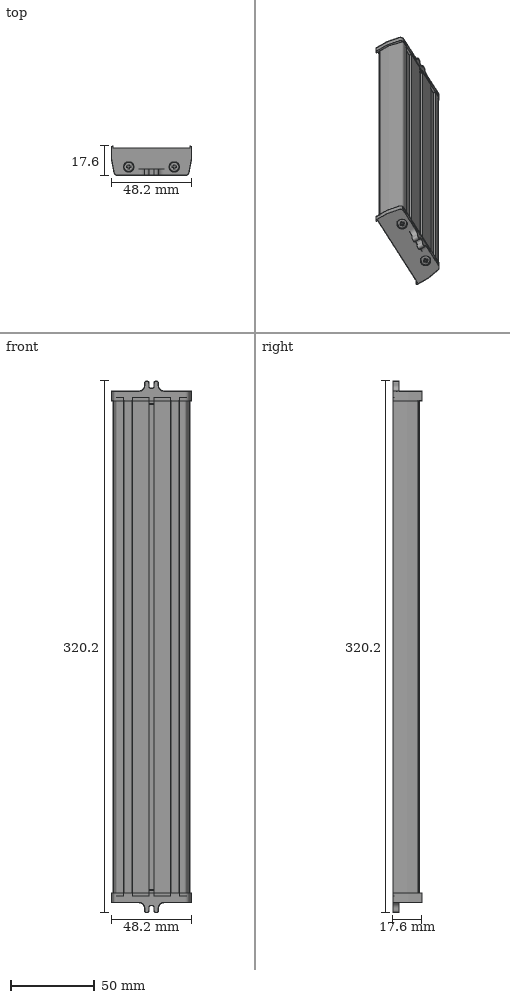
import cadquery as cq
import math

total_length = 320.2
cap_width = 48.2
cap_depth = 17.6

lug_height = 6.0
cap_height = 6.0
socket_depth = 2.0
side_wall = 1.0
front_wall = 0.05
cap_bend_y = 9.5
cap_taper = math.radians(10.7)
cap_corner_radius = 2.3
lip_size = 1.0
lip_radius = 0.5

cap_top = total_length / 2 - lug_height
cap_bottom = cap_top - cap_height
cap_back = cap_depth - lip_size

lug_thickness = 3.8
lug_half_width = 4.2
lug_root_radius = 3.3
lug_slot_half_width = 1.5
lug_slot_depth = 4.2
lug_slot_radius = 0.9
lug_tip_radius = 1.3

body_half_width = cap_width / 2 - side_wall
body_length = 2 * (cap_bottom + socket_depth)
body_bend_y = 8.7
body_taper = math.radians(14.1)
body_corner_radius = 1.3
cover_front = 15.0
cover_back = 16.0
cover_corner_radius = 0.8

groove_depth = 1.3
side_groove_outer = 17.0
side_groove_inner = 11.3
side_groove_wall_slope = math.radians(16)
center_groove_half_width = 1.5

key_front = 0.5
key_length = 2.0
key_chamfer = 0.6

screw_x = 13.7
screw_y = 5.15
head_radius = 2.8
head_height = 2.2
head_edge_radius = 0.6
counterbore_radius = 3.1
shank_radius = 1.5
shank_length = 12.0
recess_length = 2.6
recess_width = 0.9
recess_depth = 1.2


def mirrored_outline(right_points):
    """Closed outline in XY from its right half, listed from front to back."""
    left_points = [(-x, y) for x, y in reversed(right_points)]
    return cq.Workplane("XY").polyline(right_points + left_points).close()


def tapered_half_width(half_width, bend_y, taper, y):
    """Half width at depth y of a side that leans inward in front of the bend."""
    return half_width - (bend_y - y) * math.tan(taper)


def z_edges_at(x, y):
    """Selector for the edges along Z that pass through (x, y) and (-x, y)."""
    margin = 0.01
    boxes = [
        cq.selectors.BoxSelector(
            (side * x - margin, y - margin, -total_length),
            (side * x + margin, y + margin, total_length),
        )
        for side in (-1, 1)
    ]
    return boxes[0] + boxes[1]


def screw_cylinders(radius, length):
    """Pair of cylinders on the top screw axes: up from the head seat, or down if length is negative."""
    return (
        cq.Workplane("XY", origin=(0, 0, cap_top - head_height))
        .pushPoints([(-screw_x, screw_y), (screw_x, screw_y)])
        .circle(radius)
        .extrude(length)
    )


def make_profile():
    """Extruded profile with two sloped side grooves and a center groove in its front."""
    front_half_width = tapered_half_width(body_half_width, body_bend_y, body_taper, front_wall)
    profile = mirrored_outline([
        (front_half_width, front_wall),
        (body_half_width, body_bend_y),
        (body_half_width, cover_front),
    ]).extrude(body_length / 2, both=True)
    profile = profile.edges(z_edges_at(front_half_width, front_wall)).fillet(body_corner_radius)

    wall_run = groove_depth * math.tan(side_groove_wall_slope)
    floor_y = front_wall + groove_depth
    side_groove = (
        cq.Workplane("XY")
        .polyline([
            (side_groove_inner, front_wall),
            (side_groove_outer, front_wall),
            (side_groove_outer - wall_run, floor_y),
            (side_groove_inner + wall_run, floor_y),
        ])
        .close()
        .extrude(body_length / 2, both=True)
    )
    center_groove = cq.Workplane("XY").box(
        2 * center_groove_half_width, 2 * floor_y, body_length
    )
    for groove in (side_groove, side_groove.mirror("YZ"), center_groove):
        profile = profile.cut(groove)

    shank_holes = screw_cylinders(shank_radius, -shank_length)
    return profile.cut(shank_holes).cut(shank_holes.mirror("XY"))


def make_cover():
    """Plate with rounded back corners that closes the back of the profile."""
    cover = cq.Workplane("XY").box(2 * body_half_width, cover_back - cover_front, body_length)
    cover = cover.faces(">Y").edges("|Z").fillet(cover_corner_radius)
    return cover.translate((0, (cover_front + cover_back) / 2, 0))


def make_lug():
    """Forked lug on the top cap, flush with its front."""
    tip_z = total_length / 2
    root_half_width = lug_half_width + lug_root_radius
    root_z = cap_top + lug_root_radius
    outline = (
        cq.Workplane("XZ")
        .moveTo(-root_half_width, cap_top)
        .radiusArc((-lug_half_width, root_z), -lug_root_radius)
        .lineTo(-lug_half_width, tip_z)
        .lineTo(lug_half_width, tip_z)
        .lineTo(lug_half_width, root_z)
        .radiusArc((root_half_width, cap_top), -lug_root_radius)
        .close()
    )
    lug = outline.extrude(-lug_thickness)
    slot = (
        cq.Workplane("XY")
        .box(2 * lug_slot_half_width, 2 * lug_thickness, 2 * lug_slot_depth)
        .edges("|Y")
        .fillet(lug_slot_radius)
        .translate((0, 0, tip_z))
    )
    return lug.cut(slot).faces(">Z").edges("|Y").fillet(lug_tip_radius)


def make_key():
    """Key that fills the end of the center groove, chamfered at its front end."""
    key_back = front_wall + groove_depth
    key = cq.Workplane("XY").box(
        2 * center_groove_half_width, key_back - key_front, key_length
    ).translate((0, (key_back + key_front) / 2, cap_bottom - key_length / 2))
    return key.faces("<Z").edges("<Y").chamfer(key_chamfer)


def make_screw():
    """Cross-recessed screw for the right side of the top cap, its head level with the cap."""
    head = (
        cq.Workplane("XY", origin=(screw_x, screw_y, cap_top - head_height))
        .circle(head_radius)
        .extrude(head_height)
        .faces(">Z")
        .edges()
        .fillet(head_edge_radius)
    )
    shank = head.faces("<Z").workplane(centerOption="CenterOfMass").circle(shank_radius)
    screw = shank.extrude(shank_length)
    for length, width in ((recess_length, recess_width), (recess_width, recess_length)):
        arm = cq.Workplane("XY").box(length, width, 2 * recess_depth)
        screw = screw.cut(arm.translate((screw_x, screw_y, cap_top)))
    return screw


def make_cap(inserts):
    """Top end cap with its lug, key and screw holes, recessed for the ends of the inserts."""
    front_half_width = tapered_half_width(cap_width / 2, cap_bend_y, cap_taper, 0)
    inner_half_width = cap_width / 2 - lip_size
    cap = mirrored_outline([
        (front_half_width, 0),
        (cap_width / 2, cap_bend_y),
        (cap_width / 2, cap_depth),
        (inner_half_width, cap_depth),
        (inner_half_width, cap_back),
    ]).extrude(cap_height).translate((0, 0, cap_bottom))
    cap = cap.edges(z_edges_at(front_half_width, 0)).fillet(cap_corner_radius)
    cap = cap.edges(z_edges_at(cap_width / 2, cap_depth)).fillet(lip_radius)
    for insert in inserts:
        cap = cap.cut(insert)
    cap = cap.union(make_lug()).union(make_key())
    counterbores = screw_cylinders(counterbore_radius, head_height)
    return cap.cut(counterbores).cut(screw_cylinders(shank_radius, -shank_length))


profile = make_profile()
cover = make_cover()
top_cap = make_cap([profile, cover])
right_screw = make_screw()
top_screws = [right_screw, right_screw.mirror("YZ")]

caps = [top_cap, top_cap.mirror("XY")]
screws = top_screws + [screw.mirror("XY") for screw in top_screws]

result = cq.Compound.makeCompound(
    [body.val() for body in [profile, cover] + caps + screws]
)